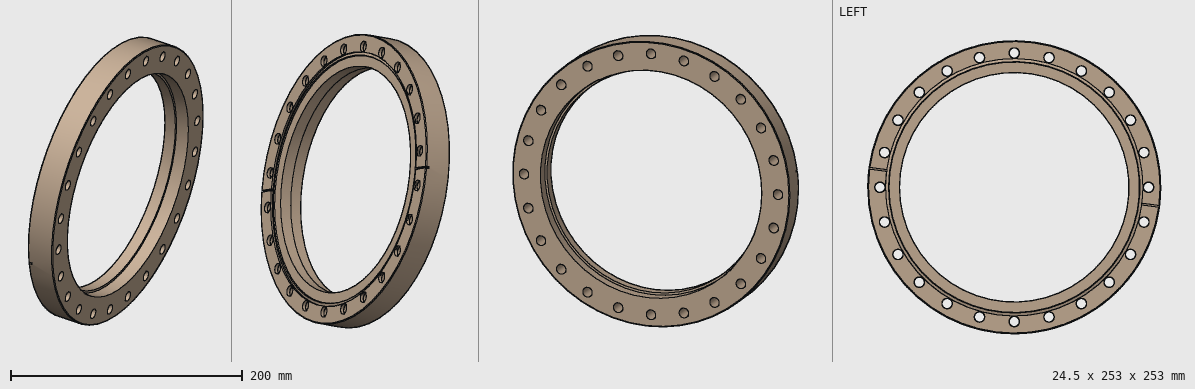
import cadquery as cq

outer_radius = 126.5
bore_radius = 99.0
counterbore_radius = 101.0
counterbore_depth = 12.0
thickness = 24.5
rim_chamfer = 0.8

recess_radius = 111.2
knife_radius = 108.6
recess_floor_depth = 1.8
knife_tip_depth = 1.0
inner_land_depth = 2.0
knife_inner_taper = 0.5

bolt_count = 24
bolt_circle_radius = 116.0
bolt_hole_diameter = 8.5
bolt_mouth_diameter = 9.0
bolt_mouth_depth = 3.0

groove_width = 1.5
groove_depth = 3.3
groove_overrun = 0.3
groove_angle = 180.0 / bolt_count

front_x = -thickness / 2
back_x = thickness / 2


def ring_body():
    """Revolve the half section (x, radius) about the X axis."""
    section = [
        (front_x + inner_land_depth, bore_radius),
        (front_x + inner_land_depth, knife_radius - knife_inner_taper),
        (front_x + knife_tip_depth, knife_radius),
        (front_x + recess_floor_depth, recess_radius),
        (front_x, recess_radius),
        (front_x, outer_radius - rim_chamfer),
        (front_x + rim_chamfer, outer_radius),
        (back_x - rim_chamfer, outer_radius),
        (back_x, outer_radius - rim_chamfer),
        (back_x, counterbore_radius),
        (back_x - counterbore_depth, counterbore_radius),
        (back_x - counterbore_depth, bore_radius),
    ]
    return cq.Workplane("XY").polyline(section).close().revolve(360, (0, 0), (1, 0))


def bolt_circle():
    """Centres of the bolt holes on the sealing face, the first one on the +Y axis."""
    plane = cq.Workplane("YZ", origin=(front_x, 0, 0))
    return plane.polarArray(bolt_circle_radius, 0, 360, bolt_count)


def bolt_holes():
    """Through holes, slightly widened next to the sealing face."""
    through_holes = bolt_circle().circle(bolt_hole_diameter / 2).extrude(thickness)
    mouths = bolt_circle().circle(bolt_mouth_diameter / 2).extrude(bolt_mouth_depth)
    return through_holes.union(mouths)


def leak_grooves():
    """Two opposite radial grooves running from the recess out through the rim."""
    inner_end = recess_radius - groove_overrun
    length = outer_radius + groove_overrun - inner_end
    groove = cq.Workplane("XY").box(groove_depth, length, groove_width, centered=(False, False, True))
    groove = groove.translate((front_x, inner_end, 0))
    axis = ((0, 0, 0), (1, 0, 0))
    first_groove = groove.rotate(*axis, groove_angle)
    return first_groove.union(first_groove.rotate(*axis, 180))


result = ring_body().cut(bolt_holes()).cut(leak_grooves())